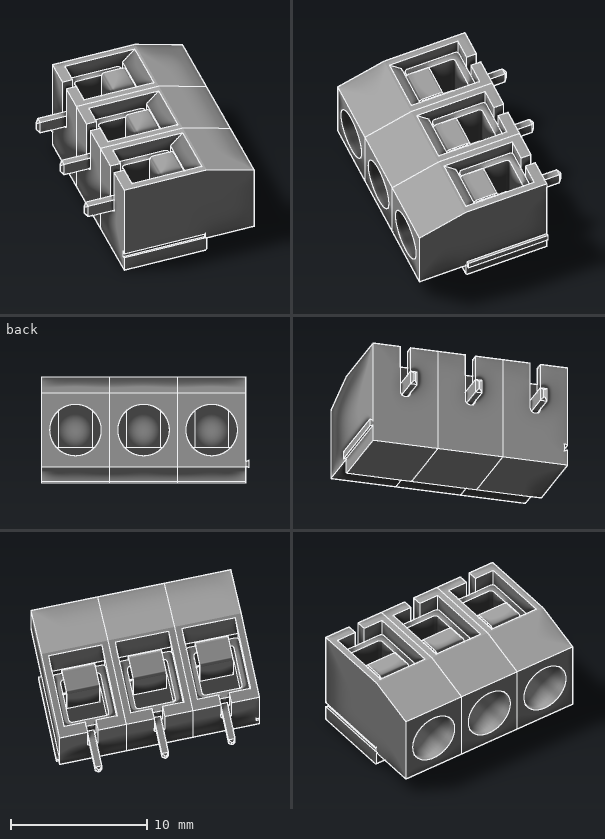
import cadquery as cq

MODULE_COUNT = 3
TOTAL_WIDTH = 15.25
RIB_REACH = 0.25
PITCH = (TOTAL_WIDTH - RIB_REACH) / MODULE_COUNT
HEIGHT = 7.8
DEPTH = 10.2
TOTAL_DEPTH = 12.4

RIDGE_Y = 6.48
BACK_EDGE_Z = 6.62
STEP_Z = 1.16
FOOT_CHAMFER = 0.12

RIB_LENGTH = 6.39
RIB_Z = 1.4
RIB_TIP_HEIGHT = 0.55
RIB_ROOT_HEIGHT = 0.37

POCKET_WIDTH = 4.0
POCKET_FRONT_Y = 0.8
POCKET_BACK_Y = 5.3
POCKET_SLOPE = 0.96
POCKET_FLOOR_Z = 2.62

BORE_RADIUS = 1.89
BORE_Z = (STEP_Z + BACK_EDGE_Z) / 2
BORE_END_Y = 4.5

SLOT_WIDTH = 0.8
SLOT_BOTTOM_Z = 3.83

CAGE_BACK_Y = 5.1
CAGE_TOP_Z = 6.51
CAGE_OUTER_RADIUS = 0.25
CAGE_OPENING_WIDTH = 3.0
CAGE_OPENING_FRONT_Y = 1.3
CAGE_OPENING_BACK_Y = 4.58
CAGE_OPENING_RADIUS = 0.25
PIN_WIDTH = 0.5
PIN_HEIGHT = 1.0
PIN_Z = 4.5
PIN_CHAMFER = 0.2

STRIP_WIDTH = 2.49
STRIP_FRONT_Y = 3.39
STRIP_TOP_Z = 6.95
STRIP_THICKNESS = 0.2
STRIP_BEND_RADIUS = 0.26


def box(x_range, y_range, z_range):
    """Box between the given limits along each axis."""
    spans = [high - low for low, high in (x_range, y_range, z_range)]
    corner = (x_range[0], y_range[0], z_range[0])
    return cq.Workplane("XY").box(*spans, centered=False).translate(corner)


def centred(middle, size):
    """Limits of a span of the given size about its middle."""
    return middle - size / 2, middle + size / 2


def side_prism(points, middle_x, width):
    """Prism across X from an outline of (y, z) points."""
    prism = cq.Workplane("YZ").polyline(points).close().extrude(width / 2, both=True)
    return prism.translate((middle_x, 0, 0))


def dovetail(root_x):
    """Dovetail bar along Y that widens toward -X, with its narrow root at root_x."""
    tip_x = root_x - RIB_REACH
    outline = [
        (root_x, RIB_Z - RIB_ROOT_HEIGHT / 2),
        (root_x, RIB_Z + RIB_ROOT_HEIGHT / 2),
        (tip_x, RIB_Z + RIB_TIP_HEIGHT / 2),
        (tip_x, RIB_Z - RIB_TIP_HEIGHT / 2),
    ]
    return cq.Workplane("XZ").polyline(outline).close().extrude(-RIB_LENGTH)


def pocket(middle_x):
    """Cage pocket, open at the top, with a sloped lead-in at its back."""
    outline = [
        (POCKET_FRONT_Y, POCKET_FLOOR_Z),
        (POCKET_BACK_Y, POCKET_FLOOR_Z),
        (POCKET_BACK_Y, HEIGHT - POCKET_SLOPE),
        (POCKET_BACK_Y + POCKET_SLOPE, HEIGHT),
        (POCKET_FRONT_Y, HEIGHT),
    ]
    return side_prism(outline, middle_x, POCKET_WIDTH)


def pin_slot(middle_x):
    """Slot through the front wall, open at the top and round at the bottom."""
    radius = SLOT_WIDTH / 2
    arc_z = SLOT_BOTTOM_Z + radius
    return (
        cq.Workplane("XZ")
        .moveTo(middle_x - radius, HEIGHT)
        .lineTo(middle_x - radius, arc_z)
        .threePointArc((middle_x, SLOT_BOTTOM_Z), (middle_x + radius, arc_z))
        .lineTo(middle_x + radius, HEIGHT)
        .close()
        .extrude(-POCKET_FRONT_Y)
    )


def screw_bore(middle_x):
    """Cylinder along Y from the back face into the pocket."""
    length = DEPTH - BORE_END_Y
    bore = cq.Workplane("XZ").center(middle_x, BORE_Z).circle(BORE_RADIUS).extrude(-length)
    return bore.translate((0, BORE_END_Y, 0))


def make_housing(index):
    """One housing module; the end modules carry the dovetail rib or groove."""
    middle_x = (index + 0.5) * PITCH
    outline = [
        (0, 0),
        (RIDGE_Y - FOOT_CHAMFER, 0),
        (RIDGE_Y, FOOT_CHAMFER),
        (RIDGE_Y, STEP_Z),
        (DEPTH, STEP_Z),
        (DEPTH, BACK_EDGE_Z),
        (RIDGE_Y, HEIGHT),
        (0, HEIGHT),
    ]
    housing = side_prism(outline, middle_x, PITCH)
    for cutter in (pocket, pin_slot, screw_bore):
        housing = housing.cut(cutter(middle_x))
    if index == 0:
        housing = housing.union(dovetail(0))
    if index == MODULE_COUNT - 1:
        housing = housing.cut(dovetail(MODULE_COUNT * PITCH))
    return housing


def make_clamp(index):
    """Rounded rectangular cage, open at top and bottom, with a pin on its front wall."""
    middle_x = (index + 0.5) * PITCH
    cage_z = (POCKET_FLOOR_Z, CAGE_TOP_Z)
    cage = box(centred(middle_x, POCKET_WIDTH), (POCKET_FRONT_Y, CAGE_BACK_Y), cage_z)
    cage = cage.edges("|Z").fillet(CAGE_OUTER_RADIUS)
    opening_y = (CAGE_OPENING_FRONT_Y, CAGE_OPENING_BACK_Y)
    opening = box(centred(middle_x, CAGE_OPENING_WIDTH), opening_y, cage_z)
    opening = opening.edges("|Z").fillet(CAGE_OPENING_RADIUS)
    pin_y = (DEPTH - TOTAL_DEPTH, POCKET_FRONT_Y)
    pin = box(centred(middle_x, PIN_WIDTH), pin_y, centred(PIN_Z, PIN_HEIGHT))
    pin = pin.faces("<Y").chamfer(PIN_CHAMFER)
    return cage.cut(opening).union(pin)


def make_contact(index):
    """Strip bent into an inverted U over the back wall of the cage."""
    middle_x = (index + 0.5) * PITCH
    strip_x = centred(middle_x, STRIP_WIDTH)
    back_y = CAGE_BACK_Y + STRIP_THICKNESS
    strip = box(strip_x, (STRIP_FRONT_Y, back_y), (POCKET_FLOOR_Z, STRIP_TOP_Z))
    strip = strip.faces(">Z").edges("|X").fillet(STRIP_BEND_RADIUS)
    inner_y = (STRIP_FRONT_Y + STRIP_THICKNESS, CAGE_BACK_Y)
    inside = box(strip_x, inner_y, (POCKET_FLOOR_Z, STRIP_TOP_Z - STRIP_THICKNESS))
    inside = inside.faces(">Z").edges("|X").fillet(STRIP_BEND_RADIUS - STRIP_THICKNESS)
    return strip.cut(inside)


bodies = []
for module in range(MODULE_COUNT):
    bodies.append(make_housing(module).solids().val())
    bodies.append(make_clamp(module).solids().val())
    bodies.append(make_contact(module).solids().val())

result = cq.Compound.makeCompound(bodies)